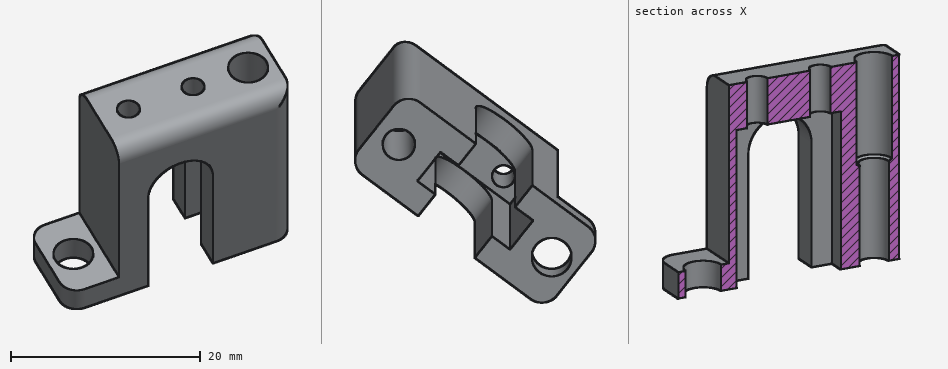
import cadquery as cq
import math

WIDTH = 10.0
LENGTH = 26.3
HEIGHT = 23.0
CORNER_RADIUS = 2.0

FOOT_LENGTH = 6.0
FOOT_HEIGHT = 3.0

SLOT_WIDTH = 7.5
SLOT_HEIGHT = 17.75

POCKET_WIDTH = 4.0
POCKET_SIDE_DEPTH = 2.4

MOUNT_HOLE_DIAMETER = 4.2
MOUNT_HOLE_EDGE_DISTANCE = 3.0
REAR_PILOT_DIAMETER = 3.4
REAR_DRILL_DEPTH = HEIGHT / 2
DRILL_POINT_ANGLE = 118.0
SCREW_HOLE_DIAMETER = 2.4
SCREW_HOLE_SPACING = 7.5

FRONT_Y = -LENGTH / 2
REAR_Y = LENGTH / 2
BLOCK_FRONT_Y = FRONT_Y + FOOT_LENGTH
BLOCK_LENGTH = LENGTH - FOOT_LENGTH


def make_block():
    """Tall block with rounded long top edges and rounded rear corners."""
    block = cq.Workplane("XY").box(WIDTH, BLOCK_LENGTH, HEIGHT, centered=(True, False, False))
    block = block.translate((0, BLOCK_FRONT_Y, 0))
    rounded_top = block.edges("|Y and >Z").fillet(CORNER_RADIUS)
    rounded_rear = block.edges("|Z and >Y").fillet(CORNER_RADIUS)
    return rounded_top.intersect(rounded_rear)


def make_foot():
    """Low plate whose front corners are rounded; it butts against the block."""
    foot = cq.Workplane("XY").box(WIDTH, FOOT_LENGTH, FOOT_HEIGHT, centered=(True, False, False))
    return foot.translate((0, FRONT_Y, 0)).edges("|Z and <Y").fillet(CORNER_RADIUS)


def make_slot():
    """Round-topped slot, open at the bottom and running along X."""
    half_width = SLOT_WIDTH / 2
    spring_height = SLOT_HEIGHT - half_width
    profile = (
        cq.Workplane("YZ")
        .moveTo(-half_width, 0)
        .lineTo(-half_width, spring_height)
        .threePointArc((0, SLOT_HEIGHT), (half_width, spring_height))
        .lineTo(half_width, 0)
        .close()
    )
    return profile.extrude(WIDTH / 2, both=True)


def make_pocket():
    """Flat-topped pocket that widens the slot at both ends for the screw holes."""
    pocket_length = SLOT_WIDTH + 2 * POCKET_SIDE_DEPTH
    return cq.Workplane("XY").box(
        POCKET_WIDTH, pocket_length, SLOT_HEIGHT, centered=(True, True, False)
    )


def make_hole(diameter, y):
    """Plain vertical hole through the full height."""
    return cq.Workplane("XY").center(0, y).circle(diameter / 2).extrude(HEIGHT)


def make_rear_hole():
    """Narrow through hole, drilled wider from the top and ending in a drill-point cone."""
    drill_radius = MOUNT_HOLE_DIAMETER / 2
    pilot_radius = REAR_PILOT_DIAMETER / 2
    cone_height = (drill_radius - pilot_radius) / math.tan(math.radians(DRILL_POINT_ANGLE / 2))
    cone_top = HEIGHT - REAR_DRILL_DEPTH
    profile = (
        cq.Workplane("XZ")
        .lineTo(pilot_radius, 0)
        .lineTo(pilot_radius, cone_top - cone_height)
        .lineTo(drill_radius, cone_top)
        .lineTo(drill_radius, HEIGHT)
        .lineTo(0, HEIGHT)
        .close()
    )
    hole = profile.revolve(360, (0, 0), (0, 1))
    return hole.translate((0, REAR_Y - MOUNT_HOLE_EDGE_DISTANCE, 0))


result = make_block().union(make_foot())
result = result.cut(make_slot()).cut(make_pocket())
result = result.cut(make_rear_hole())
result = result.cut(make_hole(MOUNT_HOLE_DIAMETER, FRONT_Y + MOUNT_HOLE_EDGE_DISTANCE))
for side in (-1, 1):
    result = result.cut(make_hole(SCREW_HOLE_DIAMETER, side * SCREW_HOLE_SPACING / 2))